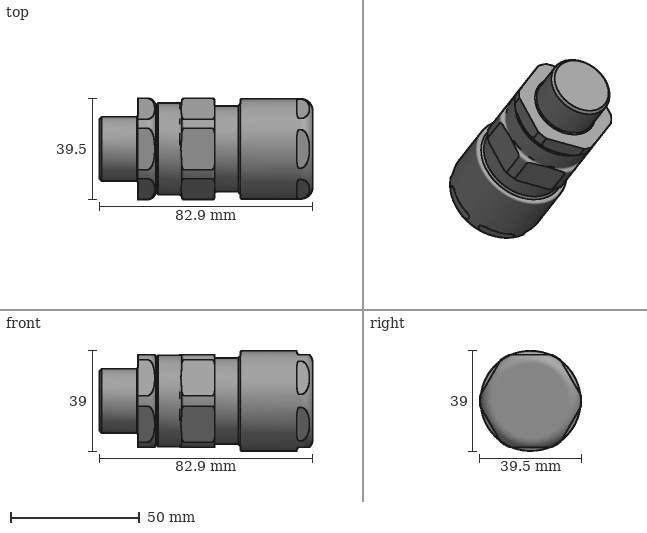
import cadquery as cq
import math

TOTAL_LENGTH = 82.9
HEX_COUNT = 6
HEX_ACROSS_FLATS = 36.0
HEX_APOTHEM = HEX_ACROSS_FLATS / 2
HEX_CORNER_RADIUS = 39.5 / 2

THREAD_RADIUS = 25.0 / 2
THREAD_CHAMFER = 1.0
RELIEF_CONE = 0.5
FLANGE_START = 15.0
FLANGE_END = 22.0
FLANGE_ROUNDING = 3.5
SPIGOT_RADIUS = 31.7 / 2

BODY_START = 22.4
COLLAR_RADIUS = 35.65 / 2
COLLAR_CHAMFER = 0.5
BODY_HEX_START = 32.0
BODY_HEX_END = 44.8
BODY_HEX_ROUNDING = 1.0
COLLAR_FILLET = 0.8
NECK_RADIUS = 33.5 / 2
NECK_FILLET = 0.4

NUT_START = 53.9
NUT_CONE = 0.8
SLEEVE_START = NUT_START + NUT_CONE
SLEEVE_RADIUS = 39.0 / 2
SLEEVE_EDGE_ROUNDING = 0.75
NUT_END_ROUNDING = 4.8
FLATS_START = 76.7
FLATS_FILLET = 1.0


def point_on_arc(center, radius, angle):
    """Point on a circle in the (x, radius) half plane, with the angle in degrees from +X."""
    turn = math.radians(angle)
    return (center[0] + radius * math.cos(turn), center[1] + radius * math.sin(turn))


def convex_left(outline, x, outer_radius, size):
    """Round the left-hand outer edge of a shoulder whose face is at x."""
    center = (x + size, outer_radius - size)
    outline = outline.lineTo(x, outer_radius - size)
    return outline.threePointArc(point_on_arc(center, size, 135), (x + size, outer_radius))


def convex_right(outline, x, outer_radius, size):
    """Round the right-hand outer edge of a shoulder whose face is at x."""
    center = (x - size, outer_radius - size)
    outline = outline.lineTo(x - size, outer_radius)
    return outline.threePointArc(point_on_arc(center, size, 45), (x, outer_radius - size))


def concave_left(outline, x, inner_radius, size):
    """Fillet the inner corner to the left of a shoulder whose face is at x."""
    center = (x - size, inner_radius + size)
    outline = outline.lineTo(x - size, inner_radius)
    return outline.threePointArc(point_on_arc(center, size, -45), (x, inner_radius + size))


def concave_right(outline, x, inner_radius, size):
    """Fillet the inner corner to the right of a shoulder whose face is at x."""
    center = (x + size, inner_radius + size)
    outline = outline.lineTo(x, inner_radius + size)
    return outline.threePointArc(point_on_arc(center, size, -135), (x + size, inner_radius))


def turned(outline):
    """Close a half outline on the X axis and revolve it."""
    return outline.close().revolve(360, (0, 0, 0), (1, 0, 0))


def hexagon_bar():
    """Hexagon bar along the whole gland, with flats facing +Z and -Z."""
    bar = cq.Workplane("YZ").polygon(HEX_COUNT, HEX_ACROSS_FLATS, circumscribed=True).extrude(TOTAL_LENGTH)
    return bar.rotate((0, 0, 0), (1, 0, 0), 180 / HEX_COUNT)


def make_entry_item():
    outline = (
        cq.Workplane("XY")
        .moveTo(0, 0)
        .lineTo(0, THREAD_RADIUS - THREAD_CHAMFER)
        .lineTo(THREAD_CHAMFER, THREAD_RADIUS)
        .lineTo(FLANGE_START - RELIEF_CONE, THREAD_RADIUS)
        .lineTo(FLANGE_START, THREAD_RADIUS + RELIEF_CONE)
        .lineTo(FLANGE_START, HEX_CORNER_RADIUS)
    )
    outline = convex_right(outline, FLANGE_END, HEX_CORNER_RADIUS, FLANGE_ROUNDING)
    outline = (
        outline.lineTo(FLANGE_END, SPIGOT_RADIUS)
        .lineTo(BODY_START, SPIGOT_RADIUS)
        .lineTo(BODY_START, 0)
    )
    return turned(outline).intersect(hexagon_bar())


def make_gland_body():
    outline = (
        cq.Workplane("XY")
        .moveTo(BODY_START, 0)
        .lineTo(BODY_START, COLLAR_RADIUS - COLLAR_CHAMFER)
        .lineTo(BODY_START + COLLAR_CHAMFER, COLLAR_RADIUS)
    )
    outline = concave_left(outline, BODY_HEX_START, COLLAR_RADIUS, COLLAR_FILLET)
    outline = convex_left(outline, BODY_HEX_START, HEX_CORNER_RADIUS, BODY_HEX_ROUNDING)
    outline = convex_right(outline, BODY_HEX_END, HEX_CORNER_RADIUS, BODY_HEX_ROUNDING)
    outline = concave_right(outline, BODY_HEX_END, NECK_RADIUS, NECK_FILLET)
    outline = outline.lineTo(NUT_START, NECK_RADIUS).lineTo(NUT_START, 0)
    return turned(outline).intersect(hexagon_bar())


def spanner_flat_cutter():
    """Block that cuts the top spanner flat, with a fillet at the closed end of the flat."""
    block_top = HEX_APOTHEM + SLEEVE_RADIUS
    outline = cq.Workplane("XZ").moveTo(FLATS_START, block_top)
    outline = concave_right(outline, FLATS_START, HEX_APOTHEM, FLATS_FILLET)
    outline = outline.lineTo(TOTAL_LENGTH, HEX_APOTHEM).lineTo(TOTAL_LENGTH, block_top)
    return outline.close().extrude(SLEEVE_RADIUS, both=True)


def make_back_nut():
    outline = (
        cq.Workplane("XY")
        .moveTo(NUT_START, 0)
        .lineTo(NUT_START, NECK_RADIUS)
        .lineTo(SLEEVE_START, NECK_RADIUS + NUT_CONE)
    )
    outline = convex_left(outline, SLEEVE_START, SLEEVE_RADIUS, SLEEVE_EDGE_ROUNDING)
    outline = convex_right(outline, TOTAL_LENGTH, SLEEVE_RADIUS, NUT_END_ROUNDING)
    nut = turned(outline.lineTo(TOTAL_LENGTH, 0))
    cutter = spanner_flat_cutter()
    for i in range(HEX_COUNT):
        nut = nut.cut(cutter.rotate((0, 0, 0), (1, 0, 0), i * 360 / HEX_COUNT))
    return nut


entry_item = make_entry_item()
gland_body = make_gland_body()
back_nut = make_back_nut()

result = cq.Compound.makeCompound([entry_item.val(), gland_body.val(), back_nut.val()])